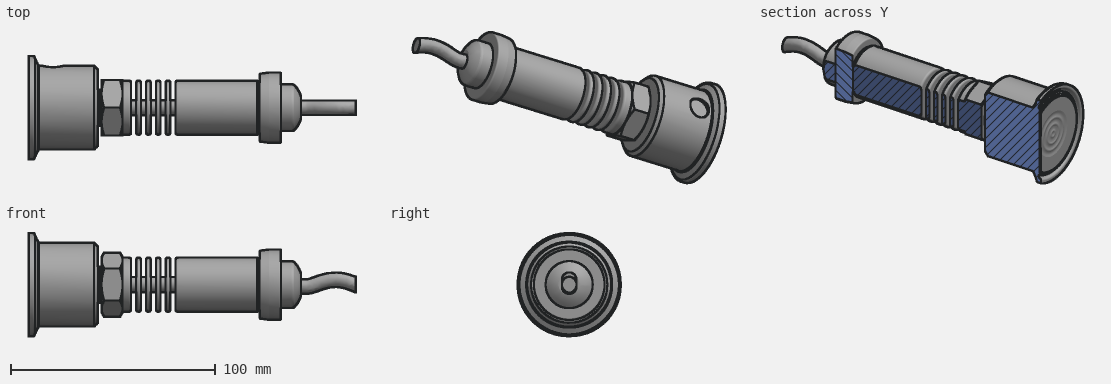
import cadquery as cq
import math


neck_start = 33.9
nut_start = 35.7
nut_end = 45.9
first_fin_middle = 53.7
sleeve_end = 112.1
cap_start = 112.9
gland_start = 123.3
cable_start = 133.2
cable_end = 159.9

flange_radius = 25.3
rim_straight = 2.0
rim_fillet = 1.0
flange_depth = 4.6
adapter_radius = 41.1 / 2
flange_root = 0.5
adapter_chamfer = 1.9
seal_inner = 19.5
seal_outer = 23.8
seal_lip = 1.0
seal_lip_depth = 0.6
seal_depth = 1.5
seal_bottom_radius = 21.5
seal_arc_depth = 1.3
seal_arc_radius = 22.2
port_diameter = 10.5
port_depth = 1.6
port_x = 12.0

diaphragm_thickness = 1.0
wave_depth = 0.3
trough_width = 2.0
crest_width = 1.36
wave_pitch = trough_width + crest_width
trough_count = 3
center_dimple_radius = 0.88

neck_radius = 9.0
neck_chamfer = 0.8
nut_across_flats = 27.2
nut_face_radius = 13.6
nut_corner_half_angle = math.radians(30)
nut_chamfer_angle = math.radians(30)
sleeve_radius = 26.5 / 2
stem_radius = 7.5 / 2
fin_count = 4
fin_pitch = 4.8
fin_thickness = 2.4
fin_fillet = fin_thickness / 2
first_fin_start = first_fin_middle - fin_thickness / 2
collar_end = first_fin_start - (fin_pitch - fin_thickness)
sleeve_chamfer = 0.5
sleeve_tail_radius = 25.1 / 2

cap_radius = 17.3
cap_front_radius = 16.6
cap_taper_length = 4.8
cap_fillet = 0.8

gland_radius = 11.5
gland_shoulder_x = 128.5
dome_start_x = 129.8
dome_start_radius = 11.0
dome_middle_x = 131.9
dome_middle_radius = 8.3
dome_end_radius = 5.1

cable_diameter = 7.2
cable_overrun = 3.2
cable_lead_in_z = 0.2
cable_lead_out_z = -1.5
cable_bends = [(cable_start, -0.8), (135.9, -1.0), (142.8, 1.1), (150.3, 2.4)]


def revolve_about_x(profile):
    """Turn a closed (x, radius) profile about the X axis."""
    return profile.close().revolve(360, (0, 0, 0), (1, 0, 0))


def x_cylinder(radius, start, end):
    return cq.Workplane("YZ", origin=(start, 0, 0)).circle(radius).extrude(end - start)


def build_adapter():
    lip_inner = seal_inner + seal_lip
    lip_outer = seal_outer - seal_lip
    lip_arc_radius = (seal_lip ** 2 + seal_lip_depth ** 2) / (2 * seal_lip_depth)
    half_angle = math.atan(seal_lip_depth / seal_lip)
    bend_x = lip_arc_radius * (1 - math.cos(half_angle))
    bend_width = lip_arc_radius * math.sin(half_angle)
    profile = (
        cq.Workplane("XY")
        .moveTo(diaphragm_thickness, 0)
        .lineTo(diaphragm_thickness, seal_inner)
        .lineTo(0, seal_inner)
        .threePointArc((bend_x, seal_inner + bend_width), (seal_lip_depth, lip_inner))
        .lineTo(seal_depth, seal_bottom_radius)
        .threePointArc((seal_arc_depth, seal_arc_radius), (seal_lip_depth, lip_outer))
        .threePointArc((bend_x, seal_outer - bend_width), (0, seal_outer))
        .lineTo(0, flange_radius)
        .lineTo(rim_straight, flange_radius)
        .tangentArcPoint((rim_straight + rim_fillet, flange_radius - rim_fillet), relative=False)
        .lineTo(flange_depth, adapter_radius + flange_root)
        .lineTo(flange_depth + flange_root, adapter_radius)
        .lineTo(neck_start - adapter_chamfer, adapter_radius)
        .lineTo(neck_start, adapter_radius - adapter_chamfer)
        .lineTo(neck_start, 0)
    )
    port = (
        cq.Workplane("XZ", origin=(port_x, adapter_radius, 0))
        .circle(port_diameter / 2)
        .extrude(port_depth)
    )
    return revolve_about_x(profile).cut(port)


def build_diaphragm():
    middle = wave_depth / 2
    radius = center_dimple_radius + trough_count * wave_pitch
    profile = (
        cq.Workplane("XY")
        .moveTo(diaphragm_thickness, 0)
        .lineTo(diaphragm_thickness, seal_inner)
        .lineTo(0, seal_inner)
        .lineTo(0, radius + crest_width / 2)
        .lineTo(middle, radius)
    )
    for _ in range(trough_count):
        trough_end = radius - trough_width
        crest_end = radius - wave_pitch
        profile = (
            profile
            .threePointArc((wave_depth, radius - trough_width / 2), (middle, trough_end))
            .threePointArc((0, trough_end - crest_width / 2), (middle, crest_end))
        )
        radius = crest_end
    profile = profile.lineTo(wave_depth, 0)
    return revolve_about_x(profile)


def build_hex_nut():
    corner_diameter = nut_across_flats / math.cos(nut_corner_half_angle)
    length = nut_end - nut_start
    hexagon = (
        cq.Workplane("YZ", origin=(nut_start, 0, 0))
        .polygon(6, corner_diameter)
        .extrude(length)
        .rotate((0, 0, 0), (1, 0, 0), 90)
    )
    corner_radius = corner_diameter / 2
    chamfer_length = (corner_radius - nut_face_radius) * math.tan(nut_chamfer_angle)
    envelope = (
        cq.Workplane("XY")
        .moveTo(nut_start, 0)
        .lineTo(nut_start, nut_face_radius)
        .lineTo(nut_start + chamfer_length, corner_radius)
        .lineTo(nut_end - chamfer_length, corner_radius)
        .lineTo(nut_end, nut_face_radius)
        .lineTo(nut_end, 0)
    )
    return hexagon.intersect(revolve_about_x(envelope))


def build_fin(start):
    end = start + fin_thickness
    straight_radius = sleeve_radius - fin_fillet
    profile = (
        cq.Workplane("XY")
        .moveTo(start, 0)
        .lineTo(start, straight_radius)
        .tangentArcPoint((start + fin_fillet, sleeve_radius), relative=False)
        .tangentArcPoint((end, straight_radius), relative=False)
        .lineTo(end, 0)
    )
    return revolve_about_x(profile)


def build_transmitter():
    sleeve_start = first_fin_start + fin_count * fin_pitch
    neck = x_cylinder(neck_radius, neck_start, nut_start).faces(">X").chamfer(neck_chamfer)
    collar = x_cylinder(sleeve_radius, nut_end, collar_end).faces(">X").edges().fillet(fin_fillet)
    stem = x_cylinder(stem_radius, collar_end, sleeve_start)
    sleeve = (
        x_cylinder(sleeve_radius, sleeve_start, sleeve_end)
        .faces("<X").edges().fillet(fin_fillet)
        .faces(">X").edges().chamfer(sleeve_chamfer)
    )
    tail = x_cylinder(sleeve_tail_radius, sleeve_end, cap_start)
    body = neck.union(build_hex_nut()).union(collar).union(stem).union(sleeve).union(tail)
    for index in range(fin_count):
        body = body.union(build_fin(first_fin_start + index * fin_pitch))
    return body


def build_cap():
    profile = (
        cq.Workplane("XY")
        .moveTo(cap_start, 0)
        .lineTo(cap_start, cap_front_radius)
        .lineTo(cap_start + cap_taper_length, cap_radius)
        .lineTo(gland_start, cap_radius)
        .lineTo(gland_start, 0)
    )
    return revolve_about_x(profile).faces("<X or >X").edges().fillet(cap_fillet)


def build_gland():
    profile = (
        cq.Workplane("XY")
        .moveTo(gland_start, 0)
        .lineTo(gland_start, gland_radius)
        .lineTo(gland_shoulder_x, gland_radius)
        .tangentArcPoint((dome_start_x, dome_start_radius), relative=False)
        .threePointArc((dome_middle_x, dome_middle_radius), (cable_start, dome_end_radius))
        .lineTo(cable_start, 0)
    )
    return revolve_about_x(profile)


def build_cable():
    path_points = [
        (cable_start - cable_overrun, cable_lead_in_z),
        *cable_bends,
        (cable_end, 0),
        (cable_end + cable_overrun, cable_lead_out_z),
    ]
    path = cq.Workplane("XZ").spline(path_points)
    start_x, start_z = path_points[0]
    swept = (
        cq.Workplane(cq.Plane((start_x, 0, start_z), (0, 1, 0), path.val().tangentAt(0)))
        .circle(cable_diameter / 2)
        .sweep(path)
    )
    kept_length = x_cylinder(flange_radius, cable_start, cable_end)
    return swept.intersect(kept_length)


adapter = build_adapter()
diaphragm = build_diaphragm()
transmitter = build_transmitter()
cap = build_cap()
gland = build_gland()
cable = build_cable()

result = cq.Compound.makeCompound([
    adapter.val(),
    diaphragm.val(),
    transmitter.val(),
    cap.val(),
    gland.val(),
    cable.val(),
])